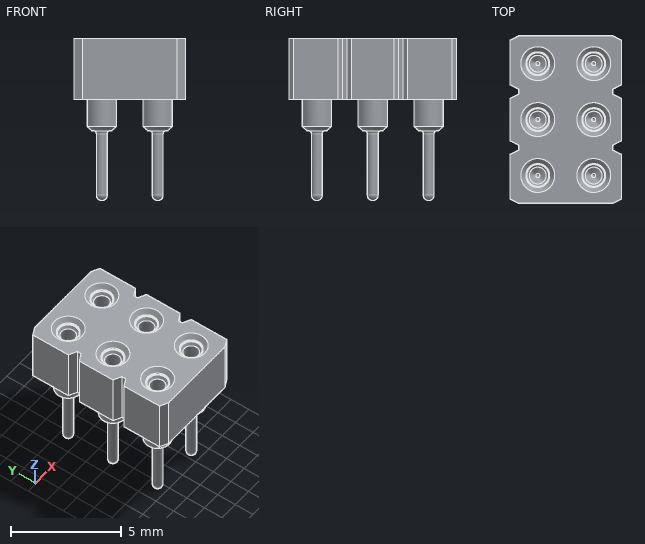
import cadquery as cq
import math

columns = 2
rows = 3
length = 7.62
pitch = length / rows
width = columns * pitch

body_height = 2.77
bevel_x = 0.405
bevel_y = 0.205
notch_floor = 0.21

sleeve_radius = 0.67
sleeve_length = 1.22
shoulder_radius = 0.46
shoulder_height = 0.2
neck_fillet = 0.14
pin_radius = 0.25
total_height = 7.37

mouth_radius = 0.77
mouth_floor_radius = 0.54
mouth_depth = 0.21
mouth_step = 0.08
clip_radius = 0.495
bore_radius = 0.38
clip_depth = 0.15
bore_length = 0.76
taper_end_radius = 0.09
socket_depth = 2.77
tip_angle = 90.0


def make_body():
    """Rectangular block with beveled corners and a notch between neighboring rows on each side."""
    half_width = width / 2
    half_length = length / 2
    body = (
        cq.Workplane("XY")
        .rect(width, length)
        .extrude(body_height)
    )
    for side in (-1, 1):
        outer_x = side * half_width
        inner_x = side * (half_width - bevel_x)
        for end in (-1, 1):
            corner = (
                cq.Workplane("XY")
                .moveTo(outer_x, end * half_length)
                .lineTo(inner_x, end * half_length)
                .lineTo(outer_x, end * (half_length - bevel_y))
                .close()
                .extrude(body_height)
            )
            body = body.cut(corner)
        for gap in range(1, rows):
            notch_y = gap * pitch - half_length
            floor_half = notch_floor / 2
            mouth_half = floor_half + bevel_y
            notch = (
                cq.Workplane("XY")
                .moveTo(outer_x, notch_y - mouth_half)
                .lineTo(inner_x, notch_y - floor_half)
                .lineTo(inner_x, notch_y + floor_half)
                .lineTo(outer_x, notch_y + mouth_half)
                .close()
                .extrude(body_height)
            )
            body = body.cut(notch)
    return body


def make_pin():
    """Sleeve, tapered shoulder, filleted neck and round-ended pin, turned about the Z axis."""
    sleeve_top_z = body_height / 2
    shoulder_z = -sleeve_length - shoulder_height
    tip_z = body_height - total_height
    diagonal = math.sqrt(0.5)
    arc_offset = neck_fillet * (1 - diagonal)
    return (
        cq.Workplane("XZ")
        .moveTo(0, sleeve_top_z)
        .lineTo(sleeve_radius, sleeve_top_z)
        .lineTo(sleeve_radius, -sleeve_length)
        .lineTo(shoulder_radius, shoulder_z)
        .lineTo(pin_radius + neck_fillet, shoulder_z)
        .threePointArc(
            (pin_radius + arc_offset, shoulder_z - arc_offset),
            (pin_radius, shoulder_z - neck_fillet),
        )
        .lineTo(pin_radius, tip_z + pin_radius)
        .threePointArc(
            (pin_radius * diagonal, tip_z + pin_radius * (1 - diagonal)),
            (0, tip_z),
        )
        .close()
        .revolve(360, (0, 0, 0), (0, 1, 0))
    )


def make_socket():
    """Countersunk mouth, step, tapered clip entry, straight bore and long taper, turned about Z."""
    mouth_floor_z = body_height - mouth_depth
    clip_z = mouth_floor_z - mouth_step
    bore_top_z = clip_z - clip_depth
    taper_end_z = body_height - socket_depth
    tip_depth = taper_end_radius / math.tan(math.radians(tip_angle / 2))
    return (
        cq.Workplane("XZ")
        .moveTo(0, body_height)
        .lineTo(mouth_radius, body_height)
        .lineTo(mouth_floor_radius, mouth_floor_z)
        .lineTo(mouth_floor_radius, clip_z)
        .lineTo(clip_radius, clip_z)
        .lineTo(bore_radius, bore_top_z)
        .lineTo(bore_radius, bore_top_z - bore_length)
        .lineTo(taper_end_radius, taper_end_z)
        .lineTo(0, taper_end_z - tip_depth)
        .close()
        .revolve(360, (0, 0, 0), (0, 1, 0))
    )


contact_points = [
    ((column - (columns - 1) / 2) * pitch, (row - (rows - 1) / 2) * pitch)
    for column in range(columns)
    for row in range(rows)
]

body = make_body()
pin = make_pin()
socket = make_socket()
for x, y in contact_points:
    body = body.union(pin.translate((x, y, 0)))
    body = body.cut(socket.translate((x, y, 0)))

result = body